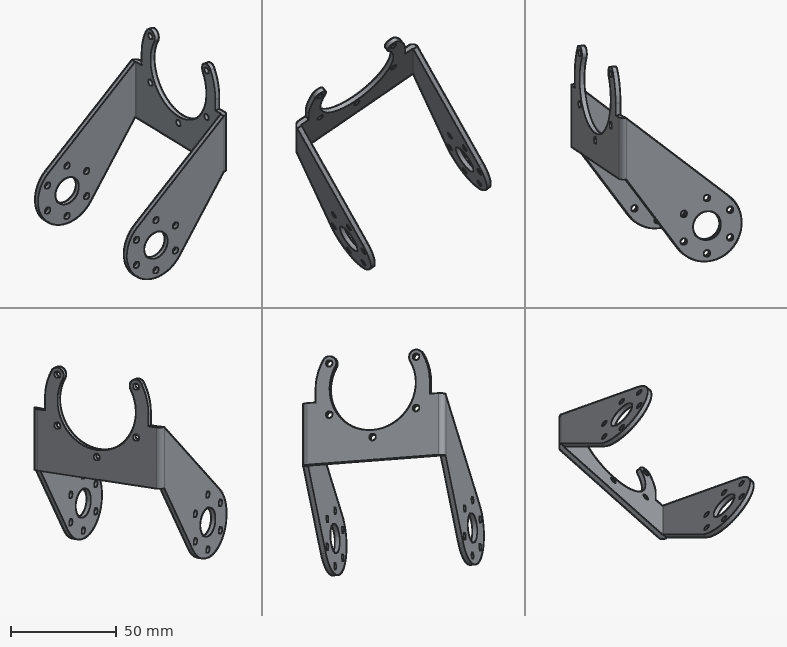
import cadquery as cq
import math

thickness = 2.5
bend_inner_radius = 0.3
bend_outer_radius = bend_inner_radius + thickness
outer_width = 71.0
half_width = outer_width / 2
screw_diameter = 3.2

plate_top_z = -6.0
plate_height = 30.0
plate_bottom_z = plate_top_z - plate_height
cradle_pitch_radius = 25.0
arm_tip_radius = 3.5
cradle_inner_radius = cradle_pitch_radius - arm_tip_radius
cradle_outer_radius = cradle_pitch_radius + arm_tip_radius
arm_tip_angle = 30.0
cradle_screw_angles = (30, 150, 210, 270, 330)

pad_radius = 17.5
bracket_depth = 61.0
pad_y = pad_radius - bracket_depth
pad_z = -62.0
bore_diameter = 14.0
pad_pitch_radius = 13.5
pad_screw_angles = (30, 90, 150, 210, 270, 330)


def polar(radius, angle):
    """Point at the given radius and angle (degrees) about the origin."""
    return (radius * math.cos(math.radians(angle)), radius * math.sin(math.radians(angle)))


def pad_tangent_point(start, side):
    """Point where a line from start touches the pad rim; side picks one of the two."""
    offset_y = start[0] - pad_y
    offset_z = start[1] - pad_z
    distance = math.hypot(offset_y, offset_z)
    angle = math.atan2(offset_z, offset_y) + side * math.acos(pad_radius / distance)
    return (pad_y + pad_radius * math.cos(angle), pad_z + pad_radius * math.sin(angle))


def make_bent_strip():
    """Back wall with a rounded 90 degree bend at each end, extruded along Z."""
    bend_centre_x = half_width - bend_outer_radius
    diagonal = math.sqrt(0.5)
    outer_mid = (bend_centre_x + bend_outer_radius * diagonal, bend_outer_radius * (diagonal - 1))
    inner_mid = (bend_centre_x + bend_inner_radius * diagonal, bend_inner_radius * diagonal - bend_outer_radius)
    half_strip = (
        cq.Workplane("XY", origin=(0, 0, plate_bottom_z))
        .lineTo(bend_centre_x, 0)
        .threePointArc(outer_mid, (half_width, -bend_outer_radius))
        .lineTo(half_width - thickness, -bend_outer_radius)
        .threePointArc(inner_mid, (bend_centre_x, -thickness))
        .lineTo(0, -thickness)
        .close()
        .extrude(plate_height)
    )
    return half_strip.union(half_strip.mirror("YZ"))


def make_cradle_arms():
    """Two curved arms that rise from the plate and end in round tips."""
    inner_foot = (math.sqrt(cradle_inner_radius**2 - plate_top_z**2), plate_top_z)
    outer_arc_mid = polar(cradle_outer_radius, arm_tip_angle / 2)
    tip_direction = polar(arm_tip_radius, arm_tip_angle + 90)
    tip_centre = polar(cradle_pitch_radius, arm_tip_angle)
    tip_end = (tip_centre[0] + tip_direction[0], tip_centre[1] + tip_direction[1])
    arm = (
        cq.Workplane("XZ")
        .moveTo(*inner_foot)
        .lineTo(cradle_outer_radius, plate_top_z)
        .lineTo(cradle_outer_radius, 0)
        .threePointArc(outer_arc_mid, polar(cradle_outer_radius, arm_tip_angle))
        .threePointArc(tip_end, polar(cradle_inner_radius, arm_tip_angle))
        .threePointArc((cradle_inner_radius, 0), inner_foot)
        .close()
        .extrude(thickness)
    )
    return arm.union(arm.mirror("YZ"))


def make_back_plate():
    """Bent strip with its arms, the round cradle opening and the cradle screw holes."""
    opening = cq.Workplane("XZ").circle(cradle_inner_radius).extrude(thickness)
    screws = (
        cq.Workplane("XZ")
        .pushPoints([polar(cradle_pitch_radius, angle) for angle in cradle_screw_angles])
        .circle(screw_diameter / 2)
        .extrude(thickness)
    )
    return make_bent_strip().cut(opening).union(make_cradle_arms()).cut(screws)


def make_side_arm():
    """Flat tapered arm on the -X side, running from the bend to the round pad."""
    root_top = (-bend_outer_radius, plate_top_z)
    root_bottom = (-bend_outer_radius, plate_bottom_z)
    arm = (
        cq.Workplane("YZ", origin=(-half_width, 0, 0))
        .moveTo(*root_bottom)
        .lineTo(*root_top)
        .lineTo(*pad_tangent_point(root_top, 1))
        .threePointArc((pad_y, pad_z - pad_radius), pad_tangent_point(root_bottom, -1))
        .close()
        .extrude(thickness)
    )
    pad = cq.Workplane("YZ", origin=(-half_width, pad_y, pad_z))
    bore = pad.circle(bore_diameter / 2).extrude(thickness)
    screws = (
        pad.pushPoints([polar(pad_pitch_radius, angle) for angle in pad_screw_angles])
        .circle(screw_diameter / 2)
        .extrude(thickness)
    )
    return arm.cut(bore).cut(screws)


side_arm = make_side_arm()
result = make_back_plate().union(side_arm).union(side_arm.mirror("YZ"))